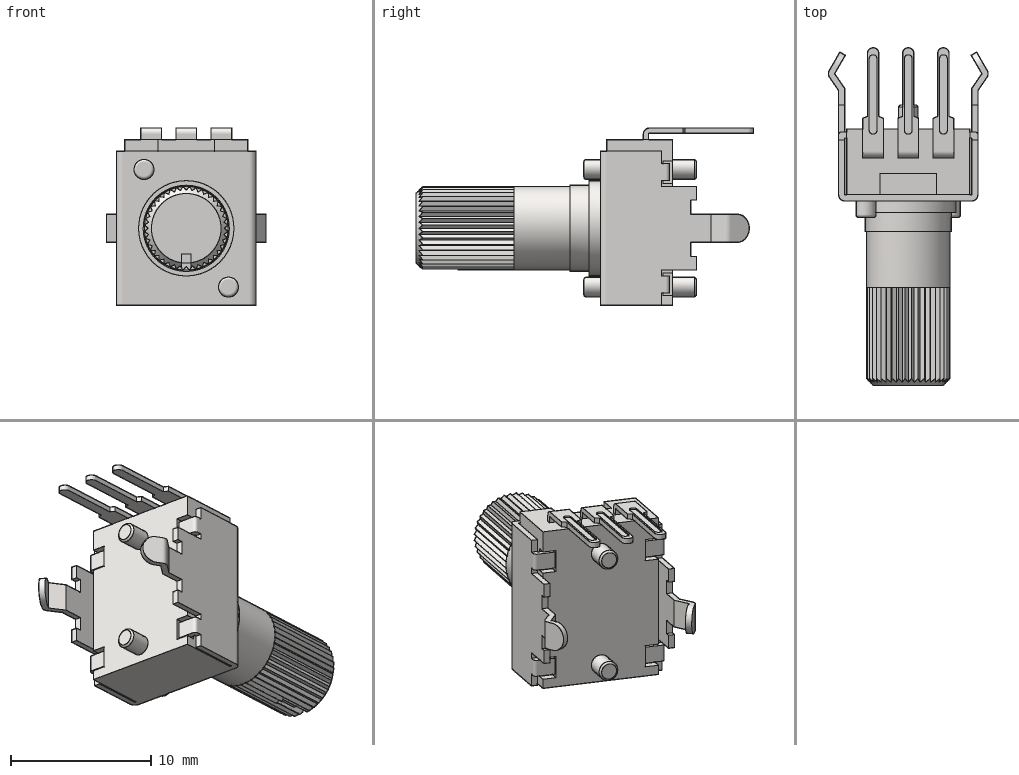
import cadquery as cq
import math


SHEET = 0.45
BRACKET_WIDTH = 9.95
BRACKET_HALF_HEIGHT = 5.5
WALL_REAR_Y = 4.35
WING_HALF_HEIGHT = 2.99
WING_REAR_Y = 6.87
NOTCH_FLOOR_Y = 6.45
NOTCH_OUTER_Z = 2.0
PRONG_HALF_HEIGHT = 1.0
PRONG_BEND_Y = 8.02
PRONG_APEX_Y = 9.08
PRONG_TIP_LENGTH = 1.52
PRONG_TIP_ANGLE = 30
SNAP_WIDTH = 11.4
HOOK_FRONT_Y = 4.48
HOOK_Z = 4.0
HOOK_HEIGHT = 1.2
HOOK_BEND_RADIUS = 0.25

BLOCK_WIDTH = 8.8
BLOCK_TOP_Z = 6.3
BLOCK_REAR_Y = 5.15
HOOK_NOTCH_HEIGHT = 1.6
HOOK_NOTCH_DEPTH = 0.99
RECESS_WIDTH = 4.0
RECESS_LENGTH = 1.52
RECESS_FLOOR_Z = 5.0

PIN_DIAMETER = 1.42
PIN_X = 3.0
PIN_Z = 4.2
FRONT_PIN_LENGTH = 1.18
FRONT_PIN_FILLET = 0.2
REAR_PIN_CHAMFER = 0.15

BUSHING_RADIUS = 3.4
BUSHING_LENGTH = 0.82
COLLAR_DIAMETER = 6.15
COLLAR_END = 2.17
KNURL_START = 6.17
SHAFT_END = 13.15
SHAFT_RADIUS = 2.99
SHAFT_CHAMFER = 0.5
KNURL_TEETH = 40
KNURL_DEPTH = 0.26
SLOT_WIDTH = 0.67
SLOT_LENGTH = 3.0
SLOT_FLOOR_Z = -2.48
NOTCH_DEPTH = 1.0
NOTCH_TOP_Z = -1.83

TERMINAL_PITCH = 2.5
TERMINAL_WIDTH = 1.5
TERMINAL_THICKNESS = 0.39
TERMINAL_TOP_Z = 7.15
TERMINAL_FRONT_Y = 3.05
TERMINAL_BEND_RADIUS = 0.45
SHOULDER_Y = 5.9
SHOULDER_TAPER = 0.15
LEAD_WIDTH = 0.82
LEAD_END_Y = 10.94
GROOVE_WIDTH = 0.55
GROOVE_START_Y = 4.77
GROOVE_END_Y = 10.43
GROOVE_DEPTH = 0.1

WALL_OUTER_X = BRACKET_WIDTH / 2
WALL_INNER_X = WALL_OUTER_X - SHEET
BLOCK_SIDE_X = BLOCK_WIDTH / 2
HOOK_TIP_X = BLOCK_SIDE_X - HOOK_NOTCH_DEPTH
FRONT_PIN_CENTRES = [(-PIN_X, PIN_Z), (PIN_X, -PIN_Z)]
REAR_PIN_CENTRES = [(0, PIN_Z), (0, -PIN_Z)]


def box_between(x0, x1, y0, y1, z0, z1):
    """Box given by its limits along each axis."""
    return cq.Workplane("XY").box(x1 - x0, y1 - y0, z1 - z0, centered=False).translate((x0, y0, z0))


def cylinder_along_y(x, z, radius, y0, y1):
    """Cylinder parallel to Y between two Y positions."""
    axis = cq.Vector(0, 1, 0)
    return cq.Workplane(cq.Solid.makeCylinder(radius, y1 - y0, cq.Vector(x, y0, z), axis))


def make_channel():
    """Front plate with its two side walls, rounded at the outer bends."""
    z0, z1 = -BRACKET_HALF_HEIGHT, BRACKET_HALF_HEIGHT
    outer = box_between(-WALL_OUTER_X, WALL_OUTER_X, 0, WALL_REAR_Y, z0, z1)
    outer = outer.edges("|Z and <Y").fillet(SHEET)
    inner = box_between(-WALL_INNER_X, WALL_INNER_X, SHEET, WALL_REAR_Y, z0, z1)
    return outer.cut(inner)


def make_wing():
    """Stand-off behind the +X wall, with a notch on each side of the prong."""
    wing = box_between(
        WALL_INNER_X, WALL_OUTER_X, WALL_REAR_Y, WING_REAR_Y, -WING_HALF_HEIGHT, WING_HALF_HEIGHT
    )
    notches = box_between(
        WALL_INNER_X, WALL_OUTER_X, NOTCH_FLOOR_Y, WING_REAR_Y, -NOTCH_OUTER_Z, NOTCH_OUTER_Z
    )
    return wing.cut(notches)


def make_prong():
    """Snap-in prong on the +X side: straight, bent outward, then leaning inward to a round tip."""
    apex_x = SNAP_WIDTH / 2 - SHEET
    flare = math.atan2(apex_x - WALL_INNER_X, PRONG_APEX_Y - PRONG_BEND_Y)
    lean = math.radians(PRONG_TIP_ANGLE)
    outer_bend_y = PRONG_BEND_Y - SHEET * math.tan(flare / 2)

    shank = (
        cq.Workplane("XY")
        .moveTo(WALL_INNER_X, NOTCH_FLOOR_Y)
        .lineTo(WALL_INNER_X, PRONG_BEND_Y)
        .lineTo(apex_x, PRONG_APEX_Y)
        .lineTo(apex_x + SHEET * math.cos(lean), PRONG_APEX_Y + SHEET * math.sin(lean))
        .threePointArc(
            (apex_x + SHEET, PRONG_APEX_Y),
            (apex_x + SHEET * math.cos(flare), PRONG_APEX_Y - SHEET * math.sin(flare)),
        )
        .lineTo(WALL_OUTER_X, outer_bend_y)
        .lineTo(WALL_OUTER_X, NOTCH_FLOOR_Y)
        .close()
        .extrude(PRONG_HALF_HEIGHT, both=True)
    )

    tip_plane = cq.Plane(
        origin=(apex_x, PRONG_APEX_Y, 0),
        xDir=(-math.sin(lean), math.cos(lean), 0),
        normal=(math.cos(lean), math.sin(lean), 0),
    )
    round_start = PRONG_TIP_LENGTH - PRONG_HALF_HEIGHT
    tip = (
        cq.Workplane(tip_plane)
        .moveTo(0, -PRONG_HALF_HEIGHT)
        .lineTo(round_start, -PRONG_HALF_HEIGHT)
        .threePointArc((PRONG_TIP_LENGTH, 0), (round_start, PRONG_HALF_HEIGHT))
        .lineTo(0, PRONG_HALF_HEIGHT)
        .close()
        .extrude(SHEET)
    )
    return shank.union(tip)


def make_hook(centre_z):
    """Tab folded inward from the rear edge of the +X wall."""
    z0, z1 = centre_z - HOOK_HEIGHT / 2, centre_z + HOOK_HEIGHT / 2
    rear_y = HOOK_FRONT_Y + SHEET
    hook = box_between(HOOK_TIP_X, WALL_OUTER_X, WALL_REAR_Y, rear_y, z0, z1)
    hook = hook.edges("|Z and >X and >Y").fillet(HOOK_BEND_RADIUS)
    return hook.cut(box_between(HOOK_TIP_X, WALL_INNER_X, WALL_REAR_Y, HOOK_FRONT_Y, z0, z1))


def make_bracket():
    """Whole folded bracket, the same on both sides."""
    side = make_wing().union(make_prong())
    for centre_z in (HOOK_Z, -HOOK_Z):
        side = side.union(make_hook(centre_z))
    return make_channel().union(side).union(side.mirror("YZ"))


def make_block():
    """Block with a recess in its front top edge and a notch for every hook."""
    block = box_between(
        -BLOCK_SIDE_X, BLOCK_SIDE_X, SHEET, BLOCK_REAR_Y, -BRACKET_HALF_HEIGHT, BLOCK_TOP_Z
    )
    recess_side_x, recess_rear_y = RECESS_WIDTH / 2, SHEET + RECESS_LENGTH
    recess = box_between(
        -recess_side_x, recess_side_x, SHEET, recess_rear_y, RECESS_FLOOR_Z, BLOCK_TOP_Z
    )
    block = block.cut(recess)
    for centre_z in (HOOK_Z, -HOOK_Z):
        z0, z1 = centre_z - HOOK_NOTCH_HEIGHT / 2, centre_z + HOOK_NOTCH_HEIGHT / 2
        notch = box_between(HOOK_TIP_X, BLOCK_SIDE_X, HOOK_FRONT_Y, BLOCK_REAR_Y, z0, z1)
        block = block.cut(notch).cut(notch.mirror("YZ"))
    return block


def make_front_pin(x, z):
    """Locating pin on the front of the bracket plate, rounded at its end."""
    pin = cylinder_along_y(x, z, PIN_DIAMETER / 2, -FRONT_PIN_LENGTH, SHEET)
    return pin.faces("<Y").edges().fillet(FRONT_PIN_FILLET)


def make_rear_pin(x, z):
    """Locating pin on the rear face, as long as the wings and chamfered at its end."""
    pin = cylinder_along_y(x, z, PIN_DIAMETER / 2, BLOCK_REAR_Y, WING_REAR_Y)
    return pin.faces(">Y").edges().chamfer(REAR_PIN_CHAMFER)


def make_terminal(x):
    """Right-angle terminal: a leg out of the block, then a lead to the rear with a shallow groove."""
    half_width, half_lead = TERMINAL_WIDTH / 2, LEAD_WIDTH / 2
    side = (
        cq.Workplane("YZ")
        .moveTo(TERMINAL_FRONT_Y, BLOCK_TOP_Z)
        .lineTo(TERMINAL_FRONT_Y, TERMINAL_TOP_Z - TERMINAL_BEND_RADIUS)
        .radiusArc((TERMINAL_FRONT_Y + TERMINAL_BEND_RADIUS, TERMINAL_TOP_Z), TERMINAL_BEND_RADIUS)
        .lineTo(LEAD_END_Y, TERMINAL_TOP_Z)
        .lineTo(LEAD_END_Y, TERMINAL_TOP_Z - TERMINAL_THICKNESS)
        .lineTo(TERMINAL_FRONT_Y + TERMINAL_THICKNESS, TERMINAL_TOP_Z - TERMINAL_THICKNESS)
        .lineTo(TERMINAL_FRONT_Y + TERMINAL_THICKNESS, BLOCK_TOP_Z)
        .close()
        .extrude(half_width, both=True)
    )
    plan = (
        cq.Workplane("XY", origin=(0, 0, BLOCK_TOP_Z))
        .moveTo(-half_width, TERMINAL_FRONT_Y)
        .lineTo(-half_width, SHOULDER_Y)
        .lineTo(-half_lead, SHOULDER_Y + SHOULDER_TAPER)
        .lineTo(-half_lead, LEAD_END_Y - half_lead)
        .threePointArc((0, LEAD_END_Y), (half_lead, LEAD_END_Y - half_lead))
        .lineTo(half_lead, SHOULDER_Y + SHOULDER_TAPER)
        .lineTo(half_width, SHOULDER_Y)
        .lineTo(half_width, TERMINAL_FRONT_Y)
        .close()
        .extrude(TERMINAL_TOP_Z - BLOCK_TOP_Z)
    )
    groove = (
        cq.Workplane("XY", origin=(0, (GROOVE_START_Y + GROOVE_END_Y) / 2, TERMINAL_TOP_Z))
        .slot2D(GROOVE_END_Y - GROOVE_START_Y, GROOVE_WIDTH, 90)
        .extrude(-GROOVE_DEPTH)
    )
    return side.intersect(plan).cut(groove).translate((x, 0, 0))


def make_housing():
    """Bracket and block joined with the bushing, the pins and the terminals."""
    bushing = cylinder_along_y(0, 0, BUSHING_RADIUS, -BUSHING_LENGTH, SHEET)
    housing = make_bracket().union(make_block()).union(bushing)
    for x, z in FRONT_PIN_CENTRES:
        housing = housing.union(make_front_pin(x, z))
    for x, z in REAR_PIN_CENTRES:
        housing = housing.union(make_rear_pin(x, z))
    for x in (-TERMINAL_PITCH, 0, TERMINAL_PITCH):
        housing = housing.union(make_terminal(x))
    return housing


def make_knurl():
    """Knurled end of the shaft: V-shaped teeth, chamfered at the tip."""
    outline = []
    for i in range(2 * KNURL_TEETH):
        radius = SHAFT_RADIUS - (KNURL_DEPTH if i % 2 == 0 else 0)
        angle = math.pi * i / KNURL_TEETH
        outline.append((radius * math.cos(angle), radius * math.sin(angle)))
    knurl_length = SHAFT_END - KNURL_START
    start_plane = cq.Workplane("XZ", origin=(0, -KNURL_START, 0))
    teeth = start_plane.polyline(outline).close().extrude(knurl_length)
    envelope = cylinder_along_y(0, 0, SHAFT_RADIUS, -SHAFT_END, -KNURL_START)
    envelope = envelope.faces("<Y").edges().chamfer(SHAFT_CHAMFER)
    return teeth.intersect(envelope)


def make_shaft():
    """Collar and knurled shaft in front of the bushing, with an indicator slot and notch."""
    collar = cylinder_along_y(0, 0, COLLAR_DIAMETER / 2, -COLLAR_END, -BUSHING_LENGTH)
    shank = cylinder_along_y(0, 0, SHAFT_RADIUS, -KNURL_START, -COLLAR_END)
    slot_side_x, slot_end_y = SLOT_WIDTH / 2, -SHAFT_END + SLOT_LENGTH
    slot = box_between(
        -slot_side_x, slot_side_x, -SHAFT_END, slot_end_y, -SHAFT_RADIUS, SLOT_FLOOR_Z
    )
    notch_end_y = -SHAFT_END + NOTCH_DEPTH
    notch = box_between(
        -slot_side_x, slot_side_x, -SHAFT_END, notch_end_y, SLOT_FLOOR_Z, NOTCH_TOP_Z
    )
    return collar.union(shank).union(make_knurl()).cut(slot).cut(notch)


housing = make_housing()
shaft = make_shaft()
result = cq.Compound.makeCompound([housing.solids().val(), shaft.solids().val()])